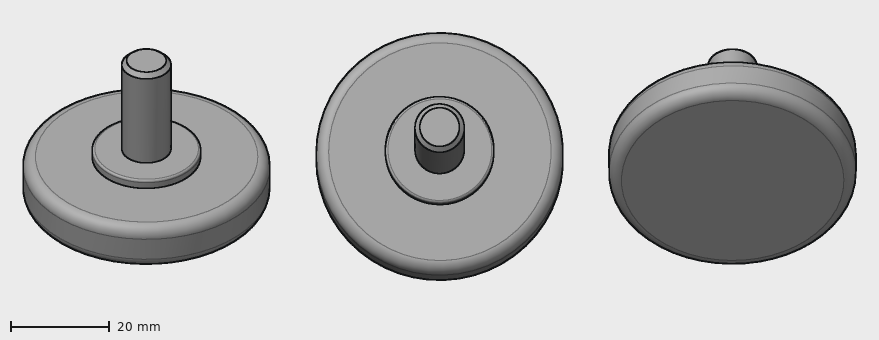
import cadquery as cq

base_diameter = 50
base_height = 10
base_edge_radius = 2.5

collar_diameter = 22
collar_height = 2
collar_edge_size = 0.5

stud_diameter = 10
stud_tip_chamfer = 1
total_height = 34

collar_top = base_height + collar_height
stud_length = total_height - collar_top


def upright_cylinder(diameter, height, bottom):
    """Solid cylinder on the Z axis, standing at the given level."""
    return cq.Workplane("XY").workplane(offset=bottom).circle(diameter / 2).extrude(height)


base = upright_cylinder(base_diameter, base_height, 0).edges("%CIRCLE").fillet(base_edge_radius)

collar = upright_cylinder(collar_diameter, collar_height, base_height)
collar = collar.faces(">Z").edges().fillet(collar_edge_size)

stud = upright_cylinder(stud_diameter, stud_length, collar_top)
stud = stud.faces(">Z").edges().chamfer(stud_tip_chamfer)

result = base.union(collar).union(stud)